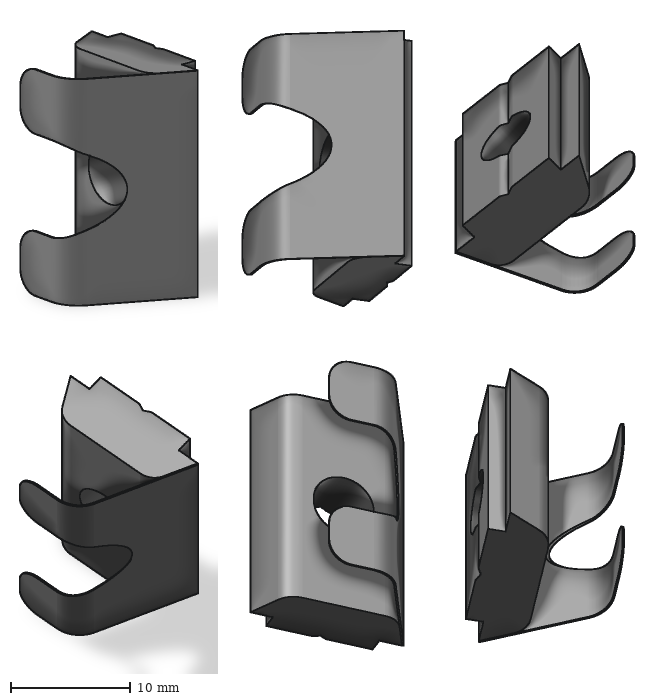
import cadquery as cq
import math

length = 20.0
flank_slope = 2.0
flank_angle = math.atan(flank_slope)

overall_width = 13.92
overall_depth = 11.8
spring_thickness = 0.15

wing_half_width = (overall_width - spring_thickness * math.sin(flank_angle)) / 2
neck_half_width = 4.85
shoulder_y = -1.5
nut_front_y = -5.35
nut_corner_radius = 1.95
hole_diameter = 5.5
groove_half_width = 0.65
groove_depth = 0.32
groove_lip_radius = 0.6

bend_outer_radius = 3.0
leg_end_x = -4.0
leg_corner_radius = 2.0
notch_radius = 4.3


def make_nut():
    """T-slot nut with a round-lipped groove along its back and a cross hole."""
    front_half_width = wing_half_width - (shoulder_y - nut_front_y) / flank_slope
    profile = [
        (-neck_half_width, 0),
        (-groove_half_width, 0),
        (0, -groove_depth),
        (groove_half_width, 0),
        (neck_half_width, 0),
        (neck_half_width, shoulder_y),
        (wing_half_width, shoulder_y),
        (front_half_width, nut_front_y),
        (-front_half_width, nut_front_y),
        (-wing_half_width, shoulder_y),
        (-neck_half_width, shoulder_y),
    ]
    body = cq.Workplane("XY").polyline(profile).close().extrude(length)
    body = body.faces("<Y").edges("|Z").fillet(nut_corner_radius)
    groove_lips = cq.selectors.BoxSelector(
        (-neck_half_width / 2, -groove_depth / 2, 0),
        (neck_half_width / 2, groove_depth / 2, length),
    )
    body = body.edges("|Z").edges(groove_lips).fillet(groove_lip_radius)
    hole = (
        cq.Workplane("XZ")
        .center(0, length / 2)
        .circle(hole_diameter / 2)
        .extrude(-nut_front_y)
    )
    return body.cut(hole)


def make_spring_strip():
    """Full-length bent strip: a slanted leaf on the nut's flank, a bend and a flat leaf."""
    inner_radius = bend_outer_radius - spring_thickness
    outer_y = -overall_depth
    inner_y = outer_y + spring_thickness
    bend_y = outer_y + bend_outer_radius

    normal_x = math.sin(flank_angle)
    normal_y = -math.cos(flank_angle)

    bend_x = (
        wing_half_width
        + (bend_y - shoulder_y) / flank_slope
        - inner_radius / normal_x
    )

    def bend_point(radius, angle):
        return (bend_x + radius * math.sin(angle), bend_y - radius * math.cos(angle))

    outer_tip = (
        wing_half_width + spring_thickness * normal_x,
        shoulder_y + spring_thickness * normal_y,
    )
    return (
        cq.Workplane("XY")
        .moveTo(leg_end_x, outer_y)
        .lineTo(bend_x, outer_y)
        .threePointArc(
            bend_point(bend_outer_radius, flank_angle / 2),
            bend_point(bend_outer_radius, flank_angle),
        )
        .lineTo(*outer_tip)
        .lineTo(wing_half_width, shoulder_y)
        .lineTo(*bend_point(inner_radius, flank_angle))
        .threePointArc(bend_point(inner_radius, flank_angle / 2), (bend_x, inner_y))
        .lineTo(leg_end_x, inner_y)
        .close()
        .extrude(length)
    )


def make_spring():
    """Bent strip with a round-bottomed notch that leaves two round-cornered legs."""
    notch = (
        cq.Workplane("XZ")
        .moveTo(leg_end_x, length / 2 - notch_radius)
        .lineTo(0, length / 2 - notch_radius)
        .threePointArc((notch_radius, length / 2), (0, length / 2 + notch_radius))
        .lineTo(leg_end_x, length / 2 + notch_radius)
        .close()
        .extrude(overall_depth)
    )
    spring = make_spring_strip().cut(notch)
    return spring.faces("<X").edges("|Y").fillet(leg_corner_radius)


nut = make_nut()
spring = make_spring()

result = cq.Compound.makeCompound([nut.val(), spring.val()])